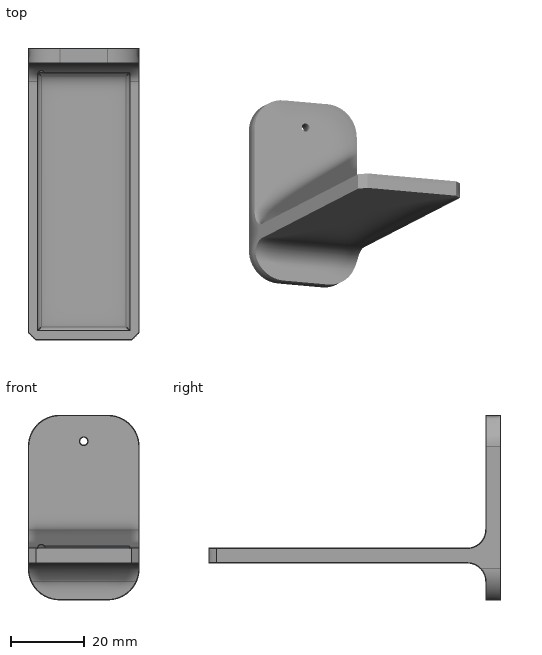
import cadquery as cq

plate_width = 30.0
plate_height = 50.0
plate_thickness = 4.0
plate_corner_radius = 8.5

hole_diameter = 2.2
hole_below_top = 7.0

overall_depth = 79.0
shelf_thickness = 4.0
shelf_underside_height = 10.0
shelf_corner_chamfer = 2.0
root_fillet_radius = 5.0

groove_radius = 1.0
groove_axis_inset = 3.5
groove_axis_back = -7.5

selection_margin = 0.1

plate_bottom = -(shelf_thickness + shelf_underside_height)
plate_top = plate_bottom + plate_height
tray_width = plate_width - 2 * groove_axis_inset
tray_front = -overall_depth + groove_axis_inset
tray_length = groove_axis_back - tray_front
tray_center_y = (groove_axis_back + tray_front) / 2
stub_end = -plate_thickness
tray_left = -tray_width / 2


def box_between(width, y_front, y_back, z_low, z_high):
    """Box centred on X = 0 that spans the given Y and Z ranges."""
    return (
        cq.Workplane("XY", origin=(0, (y_front + y_back) / 2, z_low))
        .rect(width, y_back - y_front)
        .extrude(z_high - z_low)
    )


def bracket_body():
    """Plate and shelf joined by fillets above and below the shelf."""
    plate = box_between(plate_width, -plate_thickness, 0, plate_bottom, plate_top)
    shelf = box_between(plate_width, -overall_depth, -plate_thickness, -shelf_thickness, 0)
    shelf = shelf.edges("|Z and <Y").chamfer(shelf_corner_chamfer)
    body = plate.union(shelf)
    root_edges = cq.selectors.BoxSelector(
        (-plate_width, -plate_thickness - selection_margin, -shelf_thickness - selection_margin),
        (plate_width, -plate_thickness + selection_margin, selection_margin),
    )
    return body.edges("|X").edges(root_edges).fillet(root_fillet_radius)


def rounded_plate_envelope():
    """Rounded front outline of the plate, carried along the whole depth."""
    return (
        box_between(plate_width, -overall_depth, 0, plate_bottom, plate_top)
        .edges("|Y")
        .fillet(plate_corner_radius)
    )


def screw_hole():
    """Through hole near the top of the plate."""
    return (
        cq.Workplane("XZ", origin=(0, 0, plate_top - hole_below_top))
        .circle(hole_diameter / 2)
        .extrude(plate_thickness)
    )


def groove_pair(spacing, length):
    """Two round rods along Y, at X = +/- spacing / 2, with 45 degree mitred ends.

    The axes lie in Z = 0 and meet the mitre planes at Y = +/- length / 2.
    """
    inner_end = length / 2 - groove_radius
    outer_end = length / 2 + groove_radius
    pair = cq.Workplane("XY")
    for side in (-1, 1):
        inner_x = side * (spacing / 2 - groove_radius)
        outer_x = side * (spacing / 2 + groove_radius)
        rod = (
            cq.Workplane("XZ", origin=(side * spacing / 2, 0, 0))
            .circle(groove_radius)
            .extrude(outer_end, both=True)
        )
        mitre = (
            cq.Workplane("XY")
            .polyline([
                (inner_x, -inner_end),
                (outer_x, -outer_end),
                (outer_x, outer_end),
                (inner_x, inner_end),
            ])
            .close()
            .extrude(groove_radius, both=True)
        )
        pair = pair.add(rod.intersect(mitre))
    return pair.combine()


def tray_recess():
    """Flat recess, its mitred border groove and the half-round stub hole at its back left corner."""
    floor = box_between(
        tray_width, tray_front, groove_axis_back, -groove_radius, groove_radius
    )
    end_grooves = groove_pair(tray_length, tray_width).rotate((0, 0, 0), (0, 0, 1), 90)
    groove = groove_pair(tray_width, tray_length).union(end_grooves).translate((0, tray_center_y, 0))
    stub = (
        cq.Workplane("XZ", origin=(tray_left, stub_end, 0))
        .moveTo(-groove_radius, 0)
        .threePointArc((0, groove_radius), (groove_radius, 0))
        .close()
        .extrude(stub_end - groove_axis_back)
    )
    return floor.union(groove).union(stub)


result = (
    bracket_body()
    .intersect(rounded_plate_envelope())
    .cut(screw_hole())
    .cut(tray_recess())
)